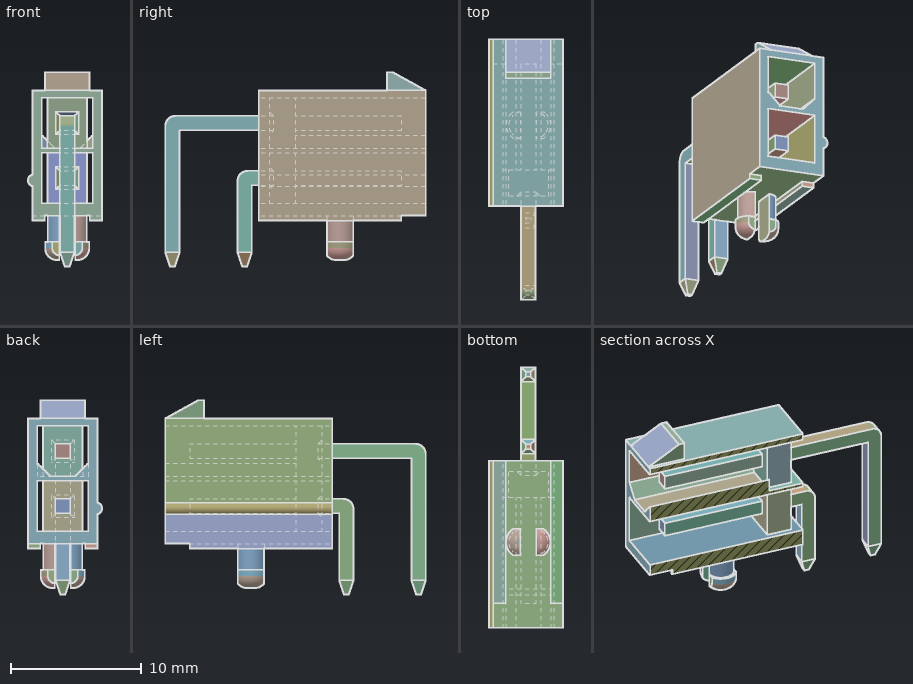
import cadquery as cq


overall_length = 19.97

housing_width = 5.35
housing_length = 12.8
housing_top = 9.97
foot_height = 0.38
foot_length = 10.92

pitch = 4.21
lower_axis = 3.25
upper_axis = lower_axis + pitch
cavity_width = 3.9
cavity_height = 3.85
key_chamfer = 1.0

core_width = 3.04
core_recess = 0.8
core_thickness = 2.0
core_back = core_recess + core_thickness
funnel_width = 1.74

latch_width = 3.41
latch_height = 1.4
latch_front = 9.8
latch_crest = 0.45

rib_radius = 0.45
rib_reach = 3.02
rib_height = 3.08

pin_size = 1.12
bend_radius = 0.8
tip_length = 1.1
tip_size = 0.38
pin_bottom = -3.53
lower_pin_front = -1.64
upper_pin_front = housing_length - overall_length
contact_end = 10.92

peg_y = 6.23
peg_depth = 2.04
prong_offset = 0.48
slot_width = 1.2
head_radius = 1.22
head_top = -1.64
head_shoulder = -2.12
head_bottom = -3.04


def block(width, y_start, y_end, z_start, z_end):
    """Box centred on X = 0."""
    size = (width, y_end - y_start, z_end - z_start)
    return cq.Workplane("XY").box(*size, centered=(True, False, False)).translate((0, y_start, z_start))


def housing_shell():
    shell = block(housing_width, 0, housing_length, foot_height, housing_top)
    feet = block(housing_width, 0, foot_length, 0, foot_height)
    channel = block(latch_width, 0, foot_length, 0, foot_height)
    return shell.union(feet.cut(channel))


def latch():
    crest_z = housing_top + latch_height
    return (
        cq.Workplane("YZ")
        .moveTo(latch_front, housing_top)
        .lineTo(latch_front, crest_z)
        .lineTo(latch_front + latch_crest, crest_z)
        .lineTo(housing_length, housing_top)
        .close()
        .extrude(latch_width / 2, both=True)
    )


def rib():
    return (
        cq.Workplane("XZ", origin=(rib_radius - rib_reach, 0, rib_height))
        .circle(rib_radius)
        .extrude(-housing_length)
    )


def cavity(axis_z, keyed):
    """Opening through the whole housing, keyed behind the core if asked."""
    bottom = axis_z - cavity_height / 2
    top = axis_z + cavity_height / 2
    socket = block(cavity_width, core_back, housing_length, bottom, top)
    if keyed:
        socket = socket.edges("|Y and <Z").chamfer(key_chamfer)
    return block(cavity_width, 0, core_back, bottom, top).union(socket)


def core(axis_z):
    """Pin carrier with a funnel that narrows to the pin at 45 degrees."""
    carrier = block(
        core_width, core_recess, core_back, axis_z - cavity_height / 2, axis_z + cavity_height / 2
    )
    funnel_depth = (funnel_width - pin_size) / 2
    funnel = (
        cq.Workplane("XZ", origin=(0, core_recess, axis_z))
        .rect(funnel_width, funnel_width)
        .workplane(offset=-funnel_depth)
        .rect(pin_size, pin_size)
        .loft(ruled=True)
    )
    return carrier.cut(funnel)


def pin(axis_z, front_y):
    """Square pin: straight contact, right-angle bend and tapered solder tail."""
    top = axis_z + pin_size / 2
    tail_y = front_y + pin_size / 2
    tip_start = pin_bottom + tip_length
    contact = block(pin_size, front_y, contact_end, top - pin_size, top)
    tail = block(pin_size, front_y, front_y + pin_size, tip_start, top)
    bent = contact.union(tail).edges("|X and <Y and >Z").fillet(bend_radius)
    tip = (
        cq.Workplane("XY", origin=(0, tail_y, tip_start))
        .rect(pin_size, pin_size)
        .workplane(offset=-tip_length)
        .rect(tip_size, tip_size)
        .loft(ruled=True)
    )
    return bent.union(tip)


def prong_head():
    """Round head with a rounded lower rim, centred on the Z axis."""
    head = cq.Workplane("XY", origin=(0, 0, head_bottom)).circle(head_radius)
    head = head.extrude(head_top - head_bottom)
    return head.faces("<Z").edges().fillet(head_shoulder - head_bottom)


def peg_prongs():
    """Two prongs with a slot between them and heads flattened to the shank depth."""
    half_slot = slot_width / 2
    prongs = []
    for side in (-1, 1):
        shank = cq.Workplane("XY", origin=(0, 0, head_top)).circle(peg_depth / 2)
        shank = shank.extrude(foot_height - head_top)
        prong = shank.union(prong_head()).translate((side * prong_offset, peg_y, 0))
        keep = block(
            latch_width, peg_y - peg_depth / 2, peg_y + peg_depth / 2, head_bottom, foot_height
        ).translate((side * (half_slot + latch_width / 2), 0, 0))
        prongs.append(prong.intersect(keep))
    return prongs


result = housing_shell().union(latch()).union(rib())
for axis_z, front_y, keyed in ((lower_axis, lower_pin_front, False), (upper_axis, upper_pin_front, True)):
    result = result.cut(cavity(axis_z, keyed)).union(core(axis_z)).union(pin(axis_z, front_y))
for prong in peg_prongs():
    result = result.union(prong)